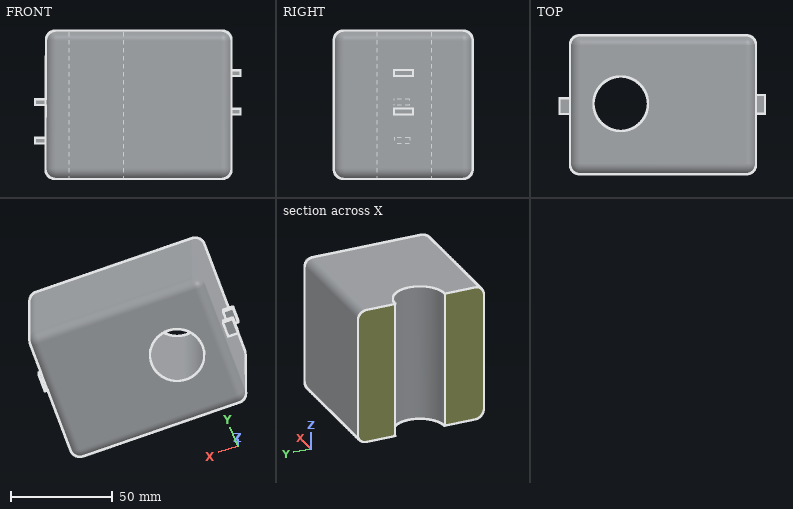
import cadquery as cq

overall_length = 101.6
body_width = 68.8
body_height = 73.5
edge_radius = 5.0

left_tab_reach = 5.1
right_tab_reach = 4.4
left_tab_width = 7.7
right_tab_width = 9.3
tab_thickness = 2.9
tab_pitch = 19.0
tab_root = 2.0
left_lower_tab_z = 19.0
right_lower_tab_z = 33.3
left_lower_tab_y = -0.4
left_upper_tab_y = -0.8
right_tab_y = 0.2

left_wall_lean = 0.3

hole_diameter = 26.8
hole_x = 30.3
hole_y = 0.5

body_left = left_tab_reach
body_right = overall_length - right_tab_reach


def make_body():
    """Block with a leaning left wall and all edges rounded."""
    profile = [
        (body_left, 0),
        (body_right, 0),
        (body_right, body_height),
        (body_left + left_wall_lean, body_height),
    ]
    block = cq.Workplane("XZ").polyline(profile).close().extrude(body_width / 2, both=True)
    return block.edges().fillet(edge_radius)


def make_tab(x_start, x_end, width, y, z):
    """Flat rectangular tab along X, centred at the given Y and Z."""
    length = x_end - x_start
    return cq.Workplane("XY").box(length, width, tab_thickness).translate((x_start + length / 2, y, z))


result = make_body()

hole = cq.Workplane("XY").center(hole_x, hole_y).circle(hole_diameter / 2).extrude(body_height)
result = result.cut(hole)

for level, left_tab_y in enumerate((left_lower_tab_y, left_upper_tab_y)):
    rise = level * tab_pitch
    left_tab = make_tab(0, body_left + tab_root, left_tab_width, left_tab_y, left_lower_tab_z + rise)
    right_tab = make_tab(
        body_right - tab_root, overall_length, right_tab_width, right_tab_y, right_lower_tab_z + rise
    )
    result = result.union(left_tab).union(right_tab)